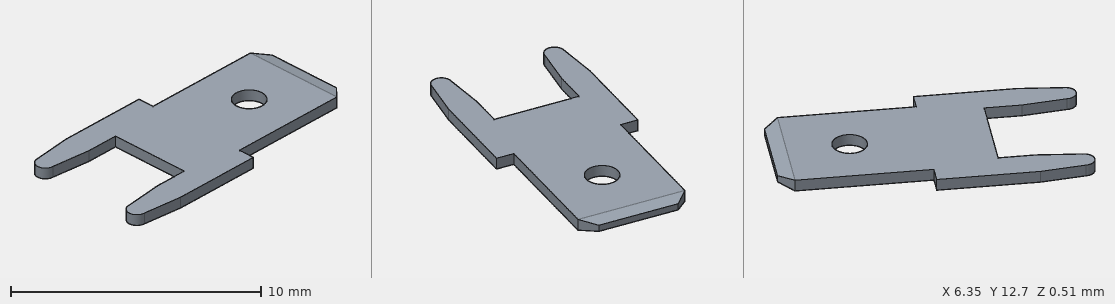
import cadquery as cq
import math

thickness = 0.51
total_length = 12.7
body_width = 6.35

blade_width = 4.8
blade_length = 6.22
lead_in = 0.615
bevel_angle = 10
lead_in_drop = lead_in * math.tan(math.radians(bevel_angle))

hole_diameter = 1.42
hole_from_end = 3.175

leg_pitch = 5.08
leg_length = 3.81
leg_width = body_width - leg_pitch
leg_taper_height = 2.29
leg_tip_radius = 0.43

shoulder_y = total_length - blade_length
bevel_start_y = total_length - lead_in
hole_y = total_length - hole_from_end


def make_body():
    """Shouldered crossbar between the blade and the legs."""
    height = shoulder_y - leg_length
    return (
        cq.Workplane("XY")
        .center(0, leg_length + height / 2)
        .rect(body_width, height)
        .extrude(thickness)
    )


def make_blade():
    """Blade with clipped corners and a bevelled leading end."""
    half_width = blade_width / 2
    end_half_width = half_width - lead_in
    outline = (
        cq.Workplane("XY")
        .moveTo(-half_width, shoulder_y)
        .lineTo(half_width, shoulder_y)
        .lineTo(half_width, bevel_start_y)
        .lineTo(end_half_width, total_length)
        .lineTo(-end_half_width, total_length)
        .lineTo(-half_width, bevel_start_y)
        .close()
        .extrude(thickness)
    )
    side_profile = (
        cq.Workplane("YZ")
        .moveTo(shoulder_y, 0)
        .lineTo(bevel_start_y, 0)
        .lineTo(total_length, lead_in_drop)
        .lineTo(total_length, thickness - lead_in_drop)
        .lineTo(bevel_start_y, thickness)
        .lineTo(shoulder_y, thickness)
        .close()
        .extrude(half_width, both=True)
    )
    return outline.intersect(side_profile)


def make_leg(center_x):
    """Tapered solder leg with a semicircular tip."""
    left = center_x - leg_width / 2
    right = center_x + leg_width / 2
    return (
        cq.Workplane("XY")
        .moveTo(left, leg_length)
        .lineTo(left, leg_taper_height)
        .lineTo(center_x - leg_tip_radius, leg_tip_radius)
        .threePointArc((center_x, 0), (center_x + leg_tip_radius, leg_tip_radius))
        .lineTo(right, leg_taper_height)
        .lineTo(right, leg_length)
        .close()
        .extrude(thickness)
    )


def make_hole():
    """Detent hole through the blade."""
    return (
        cq.Workplane("XY")
        .center(0, hole_y)
        .circle(hole_diameter / 2)
        .extrude(thickness)
    )


terminal = make_body().union(make_blade())
for side in (-1, 1):
    terminal = terminal.union(make_leg(side * leg_pitch / 2))

result = terminal.cut(make_hole()).clean()